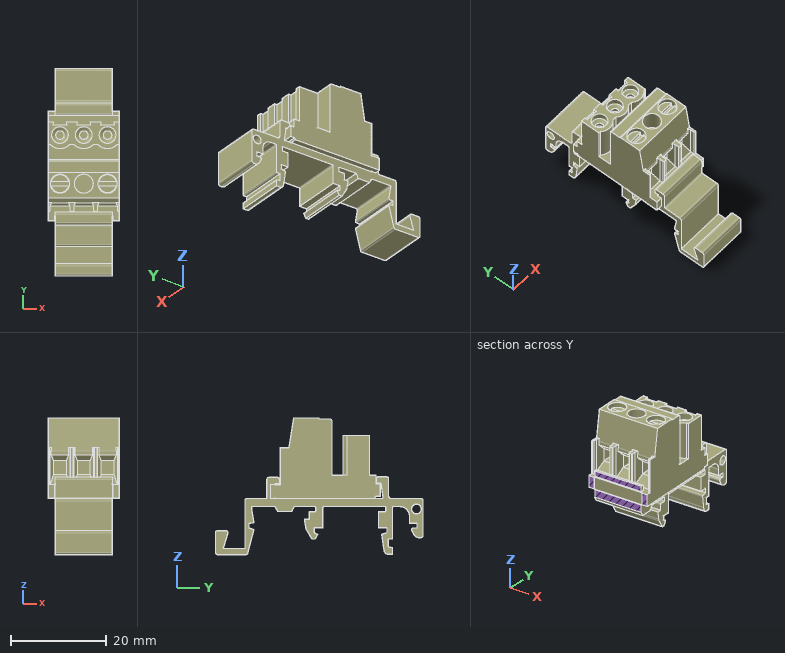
import cadquery as cq
import math


total_length = 43.7
total_height = 28.8
housing_width = 15.0
rail_width = 12.0

pole_pitch = 5.0
pole_count = 3
pole_positions = [(i - (pole_count - 1) / 2) * pole_pitch for i in range(pole_count)]
screw_positions = [pole_positions[0], pole_positions[-1]]

deck_top = 11.85
deck_thickness = 1.75
deck_under = deck_top - deck_thickness
deck_middle = deck_top - deck_thickness / 2
outer_wall_y = 6.2
edge_radius = 0.5
small_radius = 0.2
spring_root_radius = 0.5
root_margin = 0.7

pivot_hole_diameter = 2.0
pivot_hole_y = total_length - 1.42
pivot_hole_z = 9.62

notch_bottom = 5.65
notch_ceiling = 6.6
pad_bottom = 9.05

housing_front = 11.65
housing_back = 34.68
ledge_top = 14.72
body_front = 13.65
shoulder_top = 22.5
slope_bottom_y = 15.45
slope_top_y = 16.45
head_rear_y = 24.55
head_chamfer = 0.3
rear_step_top = total_height - 0.25
shelf_top = 16.75
tower_top = 25.1
tower_back = 32.45
tower_face = 27.66

screw_y = 19.45
screw_bore_diameter = 4.0
screw_head_diameter = 3.8
screw_head_depth = 1.1
screw_slot_depth = 1.0
screw_slot_width = 0.95
open_bore_depth = 5.0
socket_y = 29.67
socket_diameter = 3.5
socket_depth = 1.6
socket_cone_depth = 0.5
pin_hole_diameter = 1.8
pin_hole_depth = 1.0
lobe_radius = 2.85

notch_depth = 0.65
notch_mouth_half = 1.35
notch_floor_half = 1.45

rib_thickness = 0.86
rib_chamfer = 0.18
entry_half = (pole_pitch - rib_thickness) / 2
lintel_top = 21.83
head_slope = (slope_top_y - slope_bottom_y) / (total_height - shoulder_top)
lintel_y = slope_bottom_y - head_slope * (shoulder_top - lintel_top)
lintel_bottom = 21.0
funnel_start_y = 14.78
funnel_end_y = 16.5
window_half = 1.35
window_bottom = 16.85
window_top = 19.8
window_depth = 4.0

head_step_y = 21.8
rear_ledge_top = 14.9
rear_foot_bottom = 12.25

front_hook_top = 16.3
front_hook_under = 14.9
rear_hook_top = 16.45
rear_hook_under = 15.0
rear_hook_tip = 33.85

relief_gap = 0.12
relief_back = 12.7
front_hook_inner = 12.6


def rounded_outline(corners, width):
    """Extrude a closed YZ outline symmetrically in X; a corner (y, z, r) is rounded by r."""
    entries = []
    for i, corner in enumerate(corners):
        y, z = corner[:2]
        if len(corner) == 2:
            entries.append([(y, z)])
            continue
        before = corners[i - 1]
        after = corners[(i + 1) % len(corners)]
        length_in = math.hypot(before[0] - y, before[1] - z)
        length_out = math.hypot(after[0] - y, after[1] - z)
        ay, az = (before[0] - y) / length_in, (before[1] - z) / length_in
        by, bz = (after[0] - y) / length_out, (after[1] - z) / length_out
        half_angle = math.acos(ay * by + az * bz) / 2
        trim = corner[2] / math.tan(half_angle)
        bisector = math.hypot(ay + by, az + bz)
        reach = corner[2] / math.sin(half_angle) - corner[2]
        middle = (y + (ay + by) / bisector * reach, z + (az + bz) / bisector * reach)
        entries.append([(y + ay * trim, z + az * trim), middle, (y + by * trim, z + bz * trim)])
    sketch = cq.Workplane("YZ").moveTo(*entries[0][-1])
    for entry in entries[1:] + entries[:1]:
        sketch = sketch.lineTo(*entry[0])
        if len(entry) == 3:
            sketch = sketch.threePointArc(entry[1], entry[2])
    return sketch.close().extrude(width / 2, both=True)


def deck():
    """Flat deck with the spacer bump under it."""
    bump_depth = 1.05
    plate = rounded_outline(
        [
            (outer_wall_y, deck_top, edge_radius),
            (outer_wall_y, deck_under),
            (total_length, deck_under),
            (total_length, deck_top, edge_radius),
        ],
        rail_width,
    )
    bump = rounded_outline(
        [
            (16.6, deck_under),
            (16.05, deck_under - bump_depth),
            (13.15, deck_under - bump_depth),
            (12.55, deck_under),
            (12.55, deck_middle),
            (16.6, deck_middle),
        ],
        rail_width,
    )
    return plate.union(bump)


def pivot_leg():
    """Hanging end leg with a hooked tip."""
    inner_y = 40.8
    return rounded_outline(
        [
            (total_length, deck_middle),
            (total_length, 3.55, 0.6),
            (42.1, 3.55, 1.4),
            (41.15, 5.3, small_radius),
            (41.5, notch_bottom),
            (42.35, notch_bottom),
            (42.35, notch_ceiling),
            (inner_y, notch_ceiling),
            (inner_y, deck_under, 2.0),
            (inner_y - 2.2, deck_under),
            (inner_y - 2.2, deck_middle),
        ],
        rail_width,
    )


def latch_leg():
    """Long leg with a rail latch on its -Y side and a notch near the tip."""
    back_y = 37.25
    neck_y = 35.8
    return rounded_outline(
        [
            (back_y + root_margin, deck_middle),
            (back_y + root_margin, deck_under),
            (back_y, deck_under, small_radius),
            (back_y, 3.3, small_radius),
            (36.4, 3.3),
            (36.4, 1.7),
            (back_y, 1.5),
            (back_y, 0.1),
            (35.65, 0.1, 0.8),
            (35.35, 1.4),
            (34.95, 4.35, small_radius),
            (36.05, 4.65),
            (36.05, notch_bottom),
            (34.3, notch_bottom),
            (34.3, pad_bottom),
            (neck_y, pad_bottom, small_radius),
            (neck_y, deck_under),
            (neck_y, deck_middle),
        ],
        rail_width,
    )


def middle_leg():
    """Short leg with a barbed tip pointing to -Y."""
    back_y = 22.6
    neck_y = 21.1
    return rounded_outline(
        [
            (back_y + root_margin, deck_middle),
            (back_y + root_margin, deck_under),
            (back_y, deck_under, small_radius),
            (back_y, notch_bottom),
            (20.85, notch_bottom),
            (20.85, 4.6),
            (21.55, 4.3),
            (21.0, 3.3),
            (20.3, 3.3),
            (19.05, 5.4, 1.5),
            (18.7, 7.5),
            (19.7, 7.5),
            (19.7, pad_bottom, small_radius),
            (neck_y, pad_bottom, small_radius),
            (neck_y, deck_under, small_radius),
            (neck_y - root_margin, deck_under),
            (neck_y - root_margin, deck_middle),
        ],
        rail_width,
    )


def clamp_arm():
    """Outer wall with rail notch, floor and the upturned, leaning lip at the tip."""
    floor_top = 1.35
    lip_top = 5.1
    root_y = 7.6
    return rounded_outline(
        [
            (outer_wall_y, deck_middle),
            (outer_wall_y, floor_top),
            (1.7, floor_top),
            (2.85, lip_top, edge_radius),
            (0, lip_top, edge_radius),
            (0, 0, edge_radius),
            (6.75, 0, 0.4),
            (8.15, 5.3, small_radius),
            (7.1, notch_bottom),
            (7.1, notch_ceiling),
            (8.15, 6.7, small_radius),
            (root_y, deck_under, small_radius),
            (root_y + root_margin, deck_under),
            (root_y + root_margin, deck_middle),
        ],
        rail_width,
    )


def front_hook():
    """Hook over the front ledge of the housing."""
    outer_y = 10.8
    return rounded_outline(
        [
            (outer_y - root_margin, deck_middle),
            (outer_y - root_margin, deck_top),
            (outer_y, deck_top, small_radius),
            (outer_y, front_hook_top, edge_radius),
            (13.5, front_hook_top, edge_radius),
            (13.5, front_hook_under, small_radius),
            (front_hook_inner, front_hook_under),
            (front_hook_inner, deck_middle),
        ],
        rail_width,
    )


def rear_hook():
    """Springy hook over the rear ledge of the housing."""
    outer_y = 36.45
    return rounded_outline(
        [
            (outer_y + root_margin, deck_middle),
            (outer_y + root_margin, deck_top),
            (outer_y, deck_top, spring_root_radius),
            (outer_y, rear_hook_top, edge_radius),
            (rear_hook_tip, rear_hook_top, 0.4),
            (rear_hook_tip, rear_hook_under),
            (34.8, rear_hook_under),
            (35.25, deck_top + 0.1, 0.1),
            (34.95, deck_top),
            (34.95, deck_middle),
        ],
        rail_width,
    )


def housing_body():
    """Main plug housing: base, shoulder, sloping head and the back edge."""
    return rounded_outline(
        [
            (housing_front, deck_top),
            (housing_front, ledge_top),
            (body_front, ledge_top),
            (body_front, shoulder_top),
            (slope_bottom_y, shoulder_top),
            (slope_top_y, total_height),
            (head_step_y, total_height),
            (head_step_y, rear_step_top),
            (head_rear_y - head_chamfer, rear_step_top),
            (head_rear_y, rear_step_top - head_chamfer),
            (head_rear_y, shelf_top),
            (33.8, shelf_top),
            (33.8, rear_ledge_top),
            (housing_back, rear_ledge_top),
            (housing_back, rear_foot_bottom),
            (33.7, rear_foot_bottom),
            (33.5, deck_top),
        ],
        housing_width,
    )


def tower():
    """Socket tower with a round lobe around each socket and dovetail notches behind."""
    height = tower_top - shelf_top
    base = cq.Workplane("XY").workplane(offset=shelf_top)
    depth = tower_back - tower_face
    body = base.center(0, tower_face + depth / 2).rect(housing_width, depth).extrude(height)
    for x in pole_positions:
        lobe = base.center(x, socket_y).circle(lobe_radius).extrude(height)
        body = body.union(lobe)
    envelope = base.center(0, tower_back - housing_width / 2).rect(housing_width, housing_width)
    body = body.intersect(envelope.extrude(height))
    for x in pole_positions:
        notch = base.polyline(
            [
                (x - notch_mouth_half, tower_back),
                (x + notch_mouth_half, tower_back),
                (x + notch_floor_half, tower_back - notch_depth),
                (x - notch_floor_half, tower_back - notch_depth),
            ]
        ).close()
        body = body.cut(notch.extrude(height))
    return body


def bore(x, y, top, diameter, depth):
    """Solid cylinder reaching down from a top face."""
    return cq.Workplane("XY", origin=(x, y, top - depth)).circle(diameter / 2).extrude(depth)


def socket(x):
    """Test socket: straight mouth, cone and pin hole."""
    cone_top = tower_top - socket_depth
    cone_bottom = cone_top - socket_cone_depth
    cone = (
        cq.Workplane("XY", origin=(x, socket_y, cone_bottom))
        .circle(pin_hole_diameter / 2)
        .workplane(offset=socket_cone_depth)
        .circle(socket_diameter / 2)
        .loft()
    )
    mouth = bore(x, socket_y, tower_top, socket_diameter, socket_depth)
    pin_hole = bore(x, socket_y, cone_bottom, pin_hole_diameter, pin_hole_depth)
    return mouth.union(cone).union(pin_hole)


def screw_recess(x):
    """Bore down to a slotted screw head with a narrow gap around the head."""
    head_top = total_height - screw_head_depth
    mouth = bore(x, screw_y, total_height, screw_bore_diameter, screw_head_depth + screw_slot_depth)
    head = bore(x, screw_y, head_top, screw_head_diameter, screw_slot_depth)
    slot = cq.Workplane("XY", origin=(x, screw_y, head_top - screw_slot_depth / 2)).box(
        screw_head_diameter, screw_slot_width, screw_slot_depth
    )
    return mouth.cut(head.cut(slot))


def wire_entry(x):
    """Open-topped entry between two ribs, a tapering funnel and a straight window."""
    flare = (entry_half - window_half) / (funnel_end_y - funnel_start_y)
    deep_half = entry_half - flare * (slope_bottom_y - funnel_start_y)
    half_plan = [
        (entry_half + rib_chamfer, body_front),
        (entry_half, body_front + rib_chamfer),
        (entry_half, funnel_start_y),
        (deep_half, slope_bottom_y),
    ]
    plan = [(x + dx, y) for dx, y in half_plan] + [(x - dx, y) for dx, y in reversed(half_plan)]
    prism = cq.Workplane("XY", origin=(0, 0, ledge_top)).polyline(plan).close()
    prism = prism.extrude(shoulder_top - ledge_top)
    floor_rise = (window_bottom - ledge_top) / (funnel_end_y - funnel_start_y)
    side_limit = rounded_outline(
        [
            (body_front, ledge_top),
            (funnel_start_y, ledge_top),
            (lintel_y, ledge_top + floor_rise * (lintel_y - funnel_start_y)),
            (lintel_y, lintel_top),
            (slope_bottom_y, shoulder_top),
            (body_front, shoulder_top),
        ],
        housing_width,
    )
    ceiling_rise = (lintel_bottom - window_top) / (funnel_end_y - lintel_y)
    mouth_top = lintel_bottom + ceiling_rise * (lintel_y - funnel_start_y)
    mouth_plane = cq.Workplane("XZ", origin=(x, funnel_start_y, 0))
    funnel = (
        mouth_plane.center(0, (ledge_top + mouth_top) / 2)
        .rect(2 * entry_half, mouth_top - ledge_top)
        .workplane(offset=funnel_start_y - funnel_end_y)
        .center(0, (window_bottom + window_top - ledge_top - mouth_top) / 2)
        .rect(2 * window_half, window_top - window_bottom)
        .loft()
    )
    window = (
        cq.Workplane("XZ", origin=(x, funnel_end_y, (window_bottom + window_top) / 2))
        .rect(2 * window_half, window_top - window_bottom)
        .extrude(-window_depth)
    )
    return prism.intersect(side_limit).union(funnel).union(window)


def hook_relief():
    """Slot in the front ledge that clears the front hook."""
    width = rail_width + 2 * relief_gap
    return cq.Workplane("XY").box(width, relief_back - housing_front, ledge_top - deck_top).translate(
        (0, (relief_back + housing_front) / 2, (ledge_top + deck_top) / 2)
    )


def housing():
    """Plug housing with all of its openings."""
    body = housing_body().union(tower()).cut(hook_relief())
    for x in pole_positions:
        body = body.cut(socket(x)).cut(wire_entry(x))
        if x in screw_positions:
            body = body.cut(screw_recess(x))
        else:
            body = body.cut(bore(x, screw_y, total_height, screw_bore_diameter, open_bore_depth))
    return body


def rail_foot():
    """Deck, limbs and hooks with the pivot hole across the end."""
    foot = deck()
    for limb in (latch_leg, middle_leg, clamp_arm, front_hook, rear_hook, pivot_leg):
        foot = foot.union(limb())
    cross_hole = cq.Workplane("YZ").center(pivot_hole_y, pivot_hole_z).circle(pivot_hole_diameter / 2)
    return foot.cut(cross_hole.extrude(rail_width / 2, both=True))


result = rail_foot().union(housing())